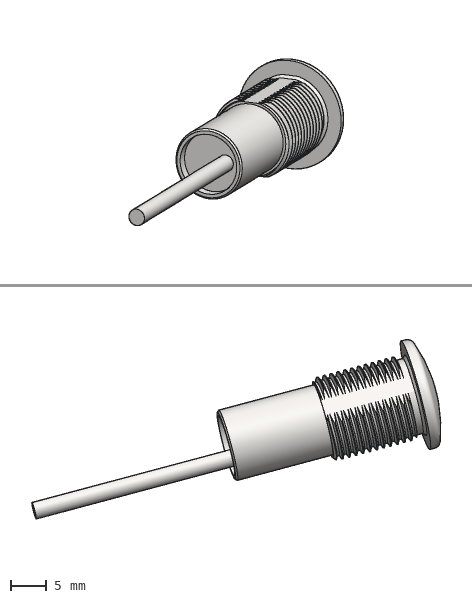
import cadquery as cq
import math


head_radius = 7.875
head_rim = 0.65
edge_rounding = 1.0
head_height = 2.88

thread_pitch = 1.0
thread_radius = 6.0
shank_radius = 5.45
thread_start = 1.4
shank_length = 13.45
flat_distance = 5.32
neck_chamfer = 0.4
crest_width = 0.125 * thread_pitch
root_width = 0.75 * thread_pitch
thread_lead = 0.5
root_overlap = 0.1
ridge_start = 0.25

barrel_radius = 5.1
barrel_end = 27.5
barrel_chamfer = 0.25
recess_radius = 4.35
recess_depth = 1.5

total_length = 58.88
cable_radius = 1.2
cable_offset = 1.95
cable_end = total_length - head_height


def cylinder(radius, start, end):
    """Round bar on the axis, from one distance below the head to another."""
    return cq.Workplane("XZ", origin=(0, -start, 0)).circle(radius).extrude(end - start)


def flats_envelope(start, end):
    """Block that keeps only what lies between the two flats."""
    length = end - start
    return cq.Workplane("XZ", origin=(0, -start, 0)).rect(4 * head_radius, 2 * flat_distance).extrude(length)


def make_head():
    rounding_center = head_radius - edge_rounding
    drop = head_height - head_rim
    dome_radius = (rounding_center**2 + drop**2 - edge_rounding**2) / (2 * (drop - edge_rounding))
    dome_center = head_height - dome_radius
    edge_angle = math.asin(rounding_center / (dome_radius - edge_rounding))

    def dome_point(angle):
        return dome_radius * math.sin(angle), dome_center + dome_radius * math.cos(angle)

    return (
        cq.Workplane("XY")
        .lineTo(head_radius, 0)
        .lineTo(head_radius, head_rim)
        .tangentArcPoint(dome_point(edge_angle), relative=False)
        .threePointArc(dome_point(edge_angle / 2), (0, head_height))
        .close()
        .revolve(360, (0, 0, 0), (0, 1, 0))
    )


def make_thread():
    """Helical ridge, trimmed square at the head and chamfered at the free end."""
    ridge_length = shank_length - ridge_start + thread_pitch
    root = shank_radius - root_overlap
    helix = cq.Wire.makeHelix(thread_pitch, ridge_length, shank_radius)
    ridge = (
        cq.Workplane("XZ")
        .moveTo(root, -root_width / 2)
        .lineTo(thread_radius, -crest_width / 2)
        .lineTo(thread_radius, crest_width / 2)
        .lineTo(root, root_width / 2)
        .close()
        .sweep(cq.Workplane(obj=helix), isFrenet=True)
        .rotate((0, 0, 0), (1, 0, 0), 90)
        .translate((0, -ridge_start, 0))
    )
    clearance = thread_pitch
    envelope = cylinder(thread_radius + clearance, thread_start, shank_length)
    envelope = envelope.faces("<Y").chamfer(thread_lead + clearance)
    envelope = envelope.intersect(flats_envelope(thread_start, shank_length))
    return ridge.intersect(envelope)


def make_housing():
    shank = cylinder(shank_radius, 0, shank_length).intersect(flats_envelope(0, shank_length))
    barrel = cylinder(barrel_radius, shank_length, barrel_end).faces("<Y").chamfer(barrel_chamfer)
    recess = cylinder(recess_radius, barrel_end - recess_depth, barrel_end)
    neck_edges = cq.selectors.BoxSelector(
        (-thread_radius, -neck_chamfer / 2, -thread_radius),
        (thread_radius, neck_chamfer / 2, thread_radius),
        boundingbox=True,
    )
    blank = make_head().union(shank)
    blank = blank.edges(neck_edges).chamfer(neck_chamfer)
    return blank.union(barrel).cut(recess).union(make_thread())


def make_cable():
    start = barrel_end - recess_depth
    return cylinder(cable_radius, start, cable_end).translate((cable_offset, 0, 0))


housing = make_housing()
cable = make_cable()
result = cq.Compound.makeCompound([housing.val(), cable.val()])